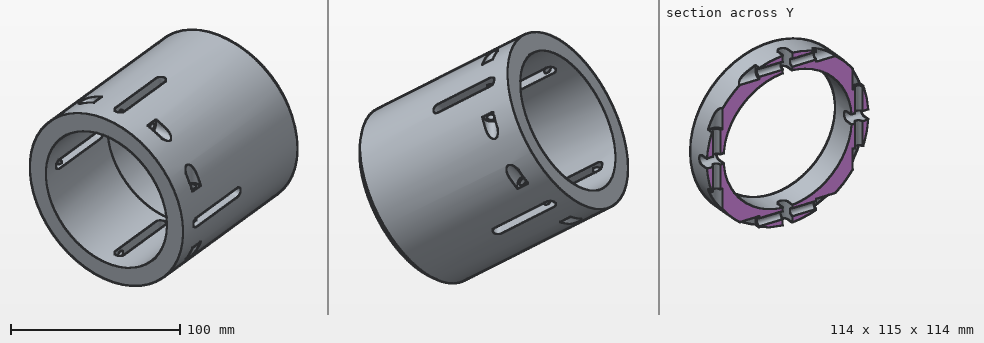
import cadquery as cq

OUTER_DIAMETER = 114.0
BORE_DIAMETER = 90.0
LENGTH = 115.0
REAR_CHAMFER = 3.5

COUNTERBORE_DIAMETER = 99.0
COUNTERBORE_DEPTH = 55.0

SLOT_WIDTH = 6.5
SLOT_FRONT = 10.0
SLOT_REAR = 56.0

SCREW_Y = 18.0
SCREW_OFFSET = 50.0
SCREW_HOLE_DIAMETER = 5.0
HEAD_POCKET_WIDTH = 8.0
HEAD_SEAT_SPACING = 40.0

QUARTER_TURNS = (0, 90, 180, 270)
OUTER_RADIUS = OUTER_DIAMETER / 2


def cylinder_along_y(diameter, y_start, y_end):
    plane = cq.Workplane("XZ", origin=(0, y_start, 0))
    return plane.circle(diameter / 2).extrude(y_start - y_end)


def make_sleeve():
    """Chamfered tube with a stepped bore."""
    body = cylinder_along_y(OUTER_DIAMETER, 0, LENGTH)
    body = body.faces(">Y").chamfer(REAR_CHAMFER)
    bore = cylinder_along_y(BORE_DIAMETER, 0, LENGTH)
    counterbore = cylinder_along_y(COUNTERBORE_DIAMETER, LENGTH - COUNTERBORE_DEPTH, LENGTH)
    return body.cut(bore).cut(counterbore)


def make_slot():
    """Round-ended slot through the upper wall, running along Y."""
    return (
        cq.Workplane("XY")
        .center(0, (SLOT_FRONT + SLOT_REAR) / 2)
        .slot2D(SLOT_REAR - SLOT_FRONT, SLOT_WIDTH, 90)
        .extrude(OUTER_RADIUS)
    )


def make_screw_hole():
    """Hole along X that joins the two head pockets through the upper slot."""
    return (
        cq.Workplane("YZ")
        .center(SCREW_Y, SCREW_OFFSET)
        .circle(SCREW_HOLE_DIAMETER / 2)
        .extrude(HEAD_SEAT_SPACING / 2, both=True)
    )


def make_head_pocket():
    """U-shaped pocket from the flat seat out along +X, open at the outside of the wall."""
    half_width = HEAD_POCKET_WIDTH / 2
    return (
        cq.Workplane("YZ", origin=(HEAD_SEAT_SPACING / 2, SCREW_Y, SCREW_OFFSET))
        .moveTo(-half_width, 0)
        .threePointArc((0, -half_width), (half_width, 0))
        .lineTo(half_width, OUTER_RADIUS - SCREW_OFFSET)
        .lineTo(-half_width, OUTER_RADIUS - SCREW_OFFSET)
        .close()
        .extrude(OUTER_RADIUS - HEAD_SEAT_SPACING / 2)
    )


def make_clamp_cut():
    """Slot, screw hole and both head pockets at the top of the sleeve."""
    pocket = make_head_pocket()
    return make_slot().union(make_screw_hole()).union(pocket).union(pocket.mirror("YZ"))


result = make_sleeve()
clamp_cut = make_clamp_cut()
for angle in QUARTER_TURNS:
    result = result.cut(clamp_cut.rotate((0, 0, 0), (0, 1, 0), angle))